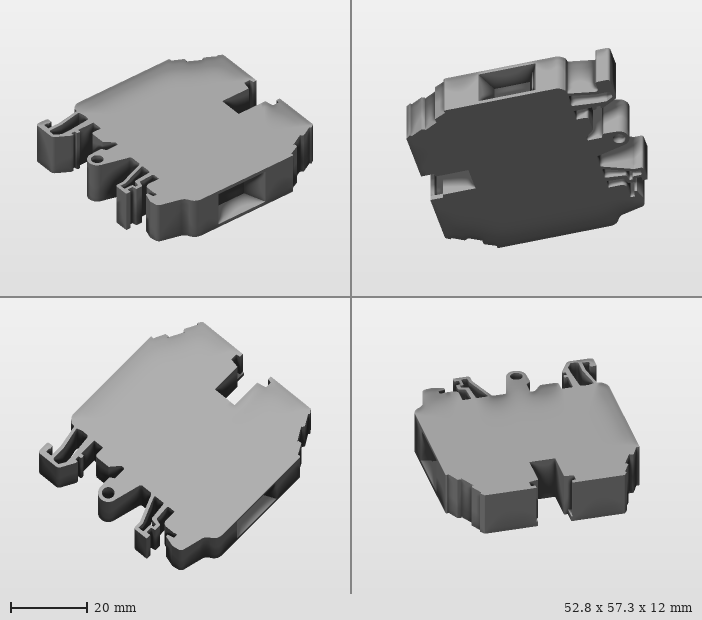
import cadquery as cq
import math

width = 52.8
length = 57.3
thickness = 12.0
side_x = width / 2

foot_bottom = 0.0
latch_bottom = 0.2
hook_floor_y = 1.55
hook_top = 3.95
stem_bend_y = 5.05
underside_left = 12.4
underside_right = 10.95
shoulder_y = 48.15

hook_left = -25.9
hook_inner = -24.35
stem_x = -22.5
foot_back = -17.15
foot_tooth = -16.3
hook_web = 1.5
hook_web_fillet = 0.7
hook_web_overlap = 0.6

lug_x = -4.1
lug_y = 3.45
lug_radius = 2.7
lug_hole_radius = 1.65
lug_flank_angle = math.radians(15)

latch_left = 7.75
latch_right = 12.4

slot_half_width = 3.5
slot_bottom = 44.7
slot_mouth = 4.95
groove_x = 6.15
groove_low = 54.1
groove_edge_y = 53.6
groove_web_edge = 4.5
groove_web = 1.5

skin = 0.25

pocket_depth = 5.45
pocket_margin = 1.05
pocket_taper = 0.85


def rounded_wire(points):
    """Closed wire through (x, y) corners; a third value rounds the corner with that radius."""
    edges = []
    stops = []
    for i, corner in enumerate(points):
        here = cq.Vector(corner[0], corner[1])
        if len(corner) == 2:
            stops.append((here, here))
            continue
        before = cq.Vector(*points[i - 1][:2])
        after = cq.Vector(*points[(i + 1) % len(points)][:2])
        to_before = (before - here).normalized()
        to_after = (after - here).normalized()
        half_angle = to_before.getAngle(to_after) / 2
        setback = corner[2] / math.tan(half_angle)
        bisector = (to_before + to_after).normalized()
        middle = here + bisector * (corner[2] / math.sin(half_angle) - corner[2])
        start = here + to_before * setback
        end = here + to_after * setback
        edges.append(cq.Edge.makeThreePointArc(start, middle, end))
        stops.append((start, end))
    for i, (start, _) in enumerate(stops):
        edges.append(cq.Edge.makeLine(stops[i - 1][1], start))
    return cq.Wire.assembleEdges(edges)


def prism(points, height):
    """Solid standing on the bottom face, with the given outline."""
    return cq.Workplane(obj=cq.Solid.extrudeLinear(rounded_wire(points), [], cq.Vector(0, 0, height)))


def mirrored(points):
    """Outline points reflected across X = 0, in reverse order."""
    return [(-p[0], *p[1:]) for p in reversed(points)]


def both_sides(solid):
    """The solid together with its reflection across X = 0."""
    return solid.union(solid.mirror("YZ"))


notch_high = [(-20.9, 51.7), (-20.5, 52.0), (-20.75, 51.6)]
notch_low = [(-22.65, shoulder_y), (-22.9, 47.6), (-22.9, shoulder_y)]
shoulder = [
    (-slot_half_width, slot_bottom),
    (-slot_half_width, groove_edge_y),
    (-groove_x, groove_low),
    (-groove_x, 56.0),
    (-slot_mouth, 56.2),
    (-slot_mouth, length),
    (-19.1, length, 0.3),
    (-19.95, 56.05),
    (-19.55, 55.7),
    (-21.3, 52.5),
    *notch_high,
    *notch_low,
    (-23.95, shoulder_y),
    (-25.55, 44.95),
    (-26.1, 45.15),
    (-side_x, 44.9),
]

left_foot = [
    (-side_x, 13.6, 2.85),
    (-25.0, 12.2),
    (-23.8, 12.05, 0.35),
    (stem_x, stem_bend_y),
    (stem_x, hook_floor_y),
    (hook_inner, hook_floor_y),
    (hook_inner, 2.65),
    (-24.05, 2.85),
    (-24.25, hook_top),
    (hook_left, hook_top, 0.6),
    (hook_left, foot_bottom, 0.85),
    (-18.8, foot_bottom, 1.3),
    (foot_tooth, 4.35),
    (foot_tooth, 5.0),
    (foot_back, 5.0),
    (foot_back, 6.2),
    (foot_tooth, 6.2),
    (-16.1, 6.7),
    (foot_tooth, 7.3),
    (foot_back, 7.3),
    (foot_back, underside_left),
]

pivot_lug = [
    (-13.9, underside_left),
    (-13.9, 9.15, 0.75),
    (-9.1, 9.15),
    (-6.8, 11.65, 0.4),
    (-5.7, 11.65, 0.4),
    (-5.7, 7.75),
    (-7.0, 7.0, 0.7),
    (lug_x - lug_radius, lug_y),
    (lug_x + lug_radius * math.cos(lug_flank_angle), lug_y - lug_radius * math.sin(lug_flank_angle)),
    (0.7, underside_right, 0.7),
]

latch_leg = [
    (4.45, underside_right, 0.7),
    (latch_left, 2.65),
    (latch_left, latch_bottom, 0.7),
    (latch_right, latch_bottom, 0.3),
    (latch_right, 1.6),
    (11.05, 1.6),
    (11.05, 3.3),
    (latch_right, 3.55),
    (latch_right, 5.55, 0.5),
    (10.45, 6.2, 0.4),
    (10.15, underside_right, 0.35),
]

right_beak = [
    (12.55, underside_right),
    (12.55, 6.2, 1.3),
    (16.75, 6.2),
    (16.75, 6.35),
    (17.55, 6.35),
    (17.55, 5.15),
    (15.7, 4.75),
    (15.7, 4.05),
    (18.8, 3.1, 1.15),
    (21.5, 3.5, 1.45),
    (23.45, 10.95, 2.65),
    (side_x, 12.45, 2.85),
]

foot_window = [
    (-22.8, 12.0),
    (-21.2, 12.45),
    (-19.1, 12.3, 0.6),
    (-18.4, 5.3),
    (-18.35, 2.8, 0.85),
    (-19.5, 1.0, 0.45),
    (-21.55, 1.0, 0.7),
    (-21.55, 5.15),
    (-22.8, 11.35),
]

latch_window = [
    (5.45, underside_right, 0.4),
    (8.65, 2.75),
    (8.65, 1.15),
    (10.3, 1.15, 0.4),
    (10.3, 3.9, 0.45),
    (11.35, 4.0),
    (11.35, 4.95),
    (9.4, 5.3, 0.6),
    (8.8, underside_right, 0.45),
]


def body():
    outline = shoulder + left_foot + pivot_lug + latch_leg + right_beak + mirrored(shoulder)
    tip = cq.Workplane().center(lug_x, lug_y).circle(lug_radius).extrude(thickness)
    hole = cq.Workplane().center(lug_x, lug_y).circle(lug_hole_radius).extrude(thickness)
    solid = prism(outline, thickness).union(tip).cut(hole)
    for window in (foot_window, latch_window):
        solid = solid.cut(prism(window, thickness))
    return solid


def hook_floor():
    """Web that closes the hook at the bottom face and runs up the stem in a fillet."""
    left = hook_inner - hook_web_overlap
    right = stem_x + hook_web_overlap
    bottom = hook_floor_y - hook_web_overlap
    fillet_end = hook_top + hook_web_fillet + hook_web_overlap
    points = [
        (left, bottom),
        (right, bottom),
        (right, fillet_end),
        (stem_x, fillet_end),
        (stem_x, hook_top, hook_web_fillet),
        (left, hook_top),
    ]
    return prism(points, hook_web)


def groove_floor():
    """Web that closes a detent groove at the bottom face."""
    rise = (groove_low - groove_edge_y) / (groove_x - slot_half_width)
    edge_y = groove_edge_y + rise * (groove_web_edge - slot_half_width)
    points = [
        (-groove_web_edge, edge_y),
        (-groove_web_edge, length),
        (-groove_x, length),
        (-groove_x, groove_low),
    ]
    return prism(points, groove_web)


def wire_pocket():
    """Funnel in the left side face, narrowing in height with depth and stepped on its lower wall."""
    plan = [
        (0, 35.65),
        (0, 20.0),
        (2.5, 21.4),
        (2.65, 21.8),
        (3.8, 22.2),
        (pocket_depth, 23.05),
        (pocket_depth, 32.8),
    ]
    section = [
        (0, pocket_margin),
        (pocket_depth, pocket_margin + pocket_taper),
        (pocket_depth, thickness - pocket_margin - pocket_taper),
        (0, thickness - pocket_margin),
    ]
    in_plan = cq.Workplane("XY").polyline(plan).close().extrude(thickness)
    in_section = cq.Workplane("XZ").polyline(section).close().extrude(-length)
    return in_plan.intersect(in_section).translate((-side_x, 0, 0))


result = body().union(hook_floor()).union(both_sides(groove_floor()))
for notch in (notch_high, notch_low):
    result = result.union(both_sides(prism(notch, skin)))
result = result.cut(both_sides(wire_pocket()))